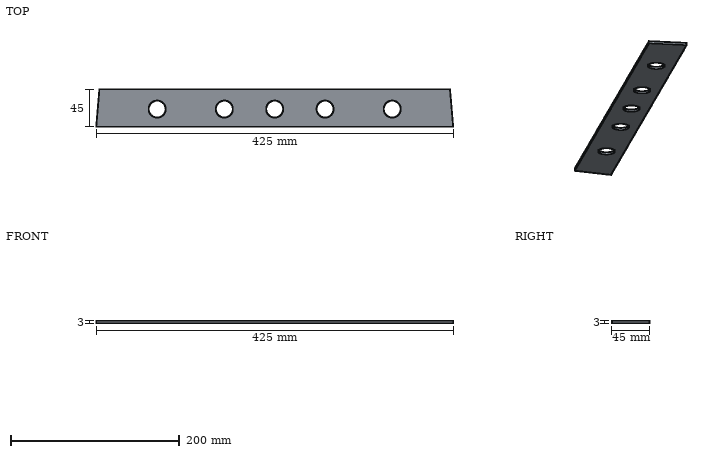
import cadquery as cq

front_length = 425.0
back_length = 417.5
depth = 45.0
thickness = 3.0

hole_diameter = 20.0
inner_hole_offset = 60.0
outer_hole_offset = 140.0
hole_row_y = -1.3

hole_centers = [
    (x, hole_row_y)
    for x in (-outer_hole_offset, -inner_hole_offset, 0, inner_hole_offset, outer_hole_offset)
]

plate = (
    cq.Workplane("XY")
    .polyline([
        (-front_length / 2, -depth / 2),
        (front_length / 2, -depth / 2),
        (back_length / 2, depth / 2),
        (-back_length / 2, depth / 2),
    ])
    .close()
    .extrude(thickness)
)

hole_cutters = (
    cq.Workplane("XY")
    .pushPoints(hole_centers)
    .circle(hole_diameter / 2)
    .extrude(thickness)
)

result = plate.cut(hole_cutters)